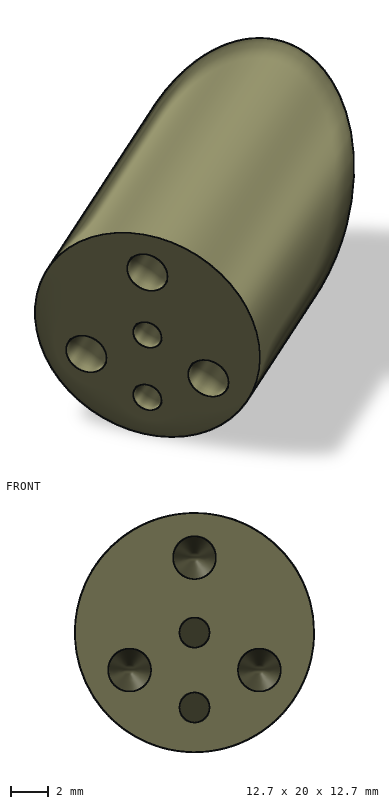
import cadquery as cq
import math

length = 19.98
diameter = 12.7
radius = diameter / 2
bottom_length = length - diameter

pattern_radius = 3.98
screw_hole_diameter = 2.28
screw_hole_depth = 5.0
drill_point_angle = 118.0
screw_hole_angles = (90, 210, 330)
pin_hole_diameter = 1.6
pin_hole_depth = 3.0


def slanted_cylinder():
    """Cylinder cut by a plane from the short bottom side up to the long top side."""
    side_profile = (
        cq.Workplane("YZ")
        .moveTo(0, -radius)
        .lineTo(bottom_length, -radius)
        .lineTo(length, radius)
        .lineTo(0, radius)
        .close()
        .extrude(radius, both=True)
    )
    cylinder = cq.Workplane("XZ").circle(radius).extrude(-length)
    return cylinder.intersect(side_profile)


def screw_hole(x, z):
    """Blind drilled hole with a conical bottom, as a solid to remove."""
    hole_radius = screw_hole_diameter / 2
    point_depth = hole_radius / math.tan(math.radians(drill_point_angle / 2))
    half_section = (
        cq.Workplane("XY")
        .lineTo(hole_radius, 0)
        .lineTo(hole_radius, screw_hole_depth)
        .lineTo(0, screw_hole_depth + point_depth)
        .close()
    )
    return half_section.revolve(360, (0, 0, 0), (0, 1, 0)).translate((x, 0, z))


def pin_hole(x, z):
    """Blind flat-bottomed hole, as a solid to remove."""
    return cq.Workplane("XZ").center(x, z).circle(pin_hole_diameter / 2).extrude(-pin_hole_depth)


result = slanted_cylinder()

for angle in screw_hole_angles:
    x = pattern_radius * math.cos(math.radians(angle))
    z = pattern_radius * math.sin(math.radians(angle))
    result = result.cut(screw_hole(x, z))

for z in (0, -pattern_radius):
    result = result.cut(pin_hole(0, z))